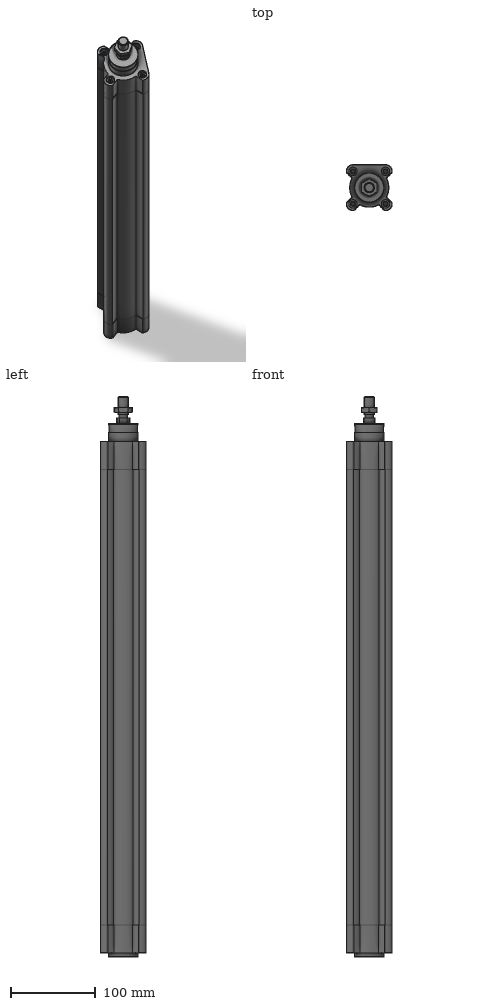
import cadquery as cq
import math

total_height = 662.0
bottom_boss_height = 4.5
cap_height = 33.0
top_cap_face = 609.0
bottom_cap_face = bottom_boss_height

side = 54.0
wall_radius = 23.0
lobe_radius = 8.0
cap_lobe_land = 1.0
barrel_lobe_land = 0.5

screw_spacing = 38.5
screw_recess_diameter = 10.0
screw_recess_depth = 4.0
screw_hole_diameter = 4.9
screw_hole_mouth_diameter = 6.0
screw_hole_depth = 12.0

collar_diameter = 35.0
collar_height = 10.5
neck_height = 9.0
neck_bottom_diameter = 34.0
neck_top_diameter = 34.5
rim_height = 1.0
collar_face = top_cap_face + collar_height + neck_height + rim_height

rod_diameter = 16.0
rod_depth = 33.0
rod_shoulder = 637.0
flats_width = 13.0
relief_diameter = 10.5
relief_height = 4.0
thread_diameter = 12.0
thread_chamfer = 1.0

nut_across_flats = 18.5
nut_height = 6.0
nut_bottom = 643.0
nut_chamfer_angle = math.radians(30)
nut_half_corner = math.radians(30)


def turned(point, quarter_turns):
    """Point turned about the Z axis."""
    x, y = point
    for _ in range(quarter_turns):
        x, y = -y, x
    return (x, y)


def lobed_prism(land, bottom, height):
    """Round body with a lobe on each diagonal: a rounded square corner on two 45 degree flanks."""
    half_side = side / 2
    corner_start = half_side - lobe_radius
    corner_middle = corner_start + lobe_radius / math.sqrt(2)
    land_start = corner_start - land
    flank_offset = half_side - land_start
    root_y = (math.sqrt(2 * wall_radius**2 - flank_offset**2) - flank_offset) / 2
    root = (root_y + flank_offset, root_y)

    outline = cq.Workplane("XY", origin=(0, 0, bottom)).moveTo(*root)
    for quarter in range(4):
        outline = outline.lineTo(*turned((half_side, land_start), quarter))
        outline = outline.lineTo(*turned((half_side, corner_start), quarter))
        outline = outline.threePointArc(
            turned((corner_middle, corner_middle), quarter),
            turned((corner_start, half_side), quarter),
        )
        outline = outline.lineTo(*turned((land_start, half_side), quarter))
        outline = outline.lineTo(*turned((root[1], root[0]), quarter))
        outline = outline.threePointArc(turned((0, wall_radius), quarter), turned(root, quarter + 1))
    return outline.close().extrude(height)


def disc(diameter, bottom, height):
    return cq.Workplane("XY", origin=(0, 0, bottom)).circle(diameter / 2).extrude(height)


def make_screw_recess(face, inward):
    """Cutter for one recess on the Z axis with a countersunk hole in its floor."""
    floor = face + inward * screw_recess_depth
    mouth_depth = (screw_hole_mouth_diameter - screw_hole_diameter) / 2
    recess = cq.Workplane("XY", origin=(0, 0, face)).circle(screw_recess_diameter / 2)
    hole = cq.Workplane("XY", origin=(0, 0, floor)).circle(screw_hole_diameter / 2)
    mouth = (
        cq.Workplane("XY", origin=(0, 0, floor))
        .circle(screw_hole_mouth_diameter / 2)
        .workplane(offset=inward * mouth_depth)
        .circle(screw_hole_diameter / 2)
        .loft()
    )
    return (
        recess.extrude(inward * screw_recess_depth)
        .union(hole.extrude(inward * screw_hole_depth))
        .union(mouth)
    )


def make_cap(bottom, outer_face, inward):
    """End cap with a flat +Y side and a screw recess in each lobe of its outer face."""
    flat_width = side - 2 * lobe_radius
    flat_side = (
        cq.Workplane("XY", origin=(0, side / 4, bottom))
        .rect(flat_width, side / 2)
        .extrude(cap_height)
    )
    cap = lobed_prism(cap_lobe_land, bottom, cap_height).union(flat_side)
    screw_recess = make_screw_recess(outer_face, inward)
    for x in (-screw_spacing / 2, screw_spacing / 2):
        for y in (-screw_spacing / 2, screw_spacing / 2):
            cap = cap.cut(screw_recess.translate((x, y, 0)))
    return cap


def make_collar():
    """Bearing collar with a slightly tapered neck under its rim."""
    neck_bottom = top_cap_face + collar_height
    neck = (
        cq.Workplane("XY", origin=(0, 0, neck_bottom))
        .circle(neck_bottom_diameter / 2)
        .workplane(offset=neck_height)
        .circle(neck_top_diameter / 2)
        .loft()
    )
    rim = disc(collar_diameter, neck_bottom + neck_height, rim_height)
    return disc(collar_diameter, top_cap_face, collar_height).union(neck).union(rim)


def make_housing():
    barrel_bottom = bottom_cap_face + cap_height
    barrel_top = top_cap_face - cap_height
    rod_bore = disc(rod_diameter, collar_face - rod_depth, rod_depth)
    return (
        lobed_prism(barrel_lobe_land, barrel_bottom, barrel_top - barrel_bottom)
        .union(make_cap(bottom_cap_face, bottom_cap_face, 1), clean=False)
        .union(make_cap(barrel_top, top_cap_face, -1), clean=False)
        .union(disc(collar_diameter, 0, bottom_boss_height), clean=False)
        .union(make_collar(), clean=False)
        .cut(rod_bore, clean=False)
    )


def make_rod():
    """Piston rod with two wrench flats, a thread relief and a chamfered threaded end."""
    rod_bottom = collar_face - rod_depth
    relief_top = rod_shoulder + relief_height
    shank = disc(rod_diameter, rod_bottom, rod_depth)
    exposed_length = rod_shoulder - collar_face
    flats_blank = (
        cq.Workplane("XY", origin=(0, 0, collar_face))
        .rect(flats_width, rod_diameter)
        .extrude(exposed_length)
    )
    flats = disc(rod_diameter, collar_face, exposed_length).intersect(flats_blank)
    relief = disc(relief_diameter, rod_shoulder, relief_height)
    thread = disc(thread_diameter, relief_top, total_height - relief_top)
    thread = thread.faces(">Z").chamfer(thread_chamfer)
    return shank.union(flats).union(relief).union(thread)


def make_nut():
    """Hexagon nut, corners on the Y axis, with its corners chamfered underneath."""
    across_corners = nut_across_flats / math.cos(nut_half_corner)
    corner_overhang = (across_corners - nut_across_flats) / 2
    chamfer_height = corner_overhang * math.tan(nut_chamfer_angle)
    hexagon = (
        cq.Workplane("XY", origin=(0, 0, nut_bottom))
        .polygon(6, across_corners)
        .extrude(nut_height)
        .rotate((0, 0, 0), (0, 0, 1), math.degrees(nut_half_corner))
    )
    chamfered_blank = (
        disc(across_corners, nut_bottom, nut_height)
        .faces("<Z")
        .chamfer(chamfer_height, corner_overhang)
    )
    return hexagon.intersect(chamfered_blank).cut(disc(thread_diameter, nut_bottom, nut_height))


housing = make_housing()
rod = make_rod()
nut = make_nut()

bodies = [*housing.solids().vals(), *rod.solids().vals(), *nut.solids().vals()]
result = cq.Compound.makeCompound(bodies)